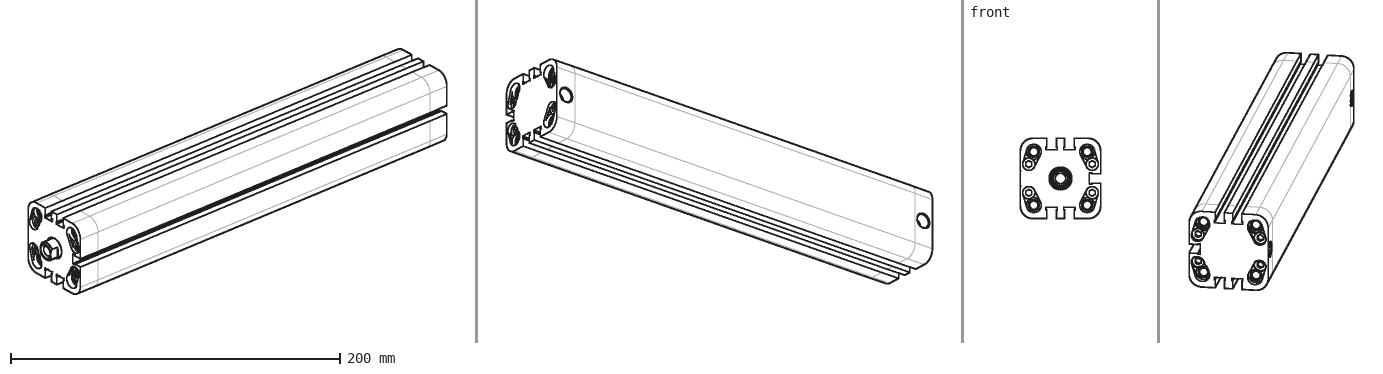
import cadquery as cq
import math

total_length = 300.2
side = 49.0
corner_radius = 7.8
rod_reach = 7.0
cap_length = 13.8
cap_draft = 0.3

slot_width = 5.7
slot_depth = 7.0
slot_pair_offset = 5.5
undercut_width = 6.5
undercut_height = 1.5

mount_spacing = 32.5
mount_bore = 5.0
mount_lead_in = 6.5
mount_recess = 9.0
mount_recess_depth = 4.0
screw_offset_x = 19.2
screw_offset_z = 8.7
screw_recess = 7.5
screw_recess_depth = 2.5
screw_socket = 3.5
screw_socket_depth = 1.8
link_depth = 1.5

port_inset = 7.2
port_bore = 8.7
port_mouth = 10.0
port_depth = 8.0
countersink_taper = 45.0
passage_diameter = 2.5
passage_length = 3.0
passage_shift = 2.5

rod_diameter = 12.0
rod_chamfer = 1.0
rod_collar = 1.8
rod_flats = 10.0
rod_bore = 6.3
rod_bore_mouth = 8.7
rod_bore_depth = 15.0
drill_point_angle = 118.0
ring_bore = 12.5
ring_mouth = 13.8
ring_depth = 2.5

front_tip = -total_length / 2
front_face = front_tip + rod_reach
rear_face = total_length / 2
front_seam = front_face + cap_length
rear_seam = rear_face - cap_length
middle = (front_face + rear_face) / 2
housing_length = rear_face - front_face


def facing_front(y, x=0, z=0):
    """Workplane at position y along the axis, facing -Y; its local axes are X and Z."""
    return cq.Workplane("XZ", origin=(x, y, z))


def with_mirror(shape, plane, base_point=(0, 0, 0)):
    return shape.union(shape.mirror(plane, base_point))


def at_both_ends(shape):
    return with_mirror(shape, "XZ", (0, middle, 0))


def cylinder_inward(diameter, depth, y, x=0, z=0):
    """Cylinder running from position y towards +Y."""
    return facing_front(y, x, z).circle(diameter / 2).extrude(-depth)


def cone_inward(mouth, bottom, depth, y, x=0, z=0):
    """Frustum narrowing from its mouth at position y towards +Y."""
    narrowing = math.degrees(math.atan2((mouth - bottom) / 2, depth))
    return facing_front(y, x, z).circle(mouth / 2).extrude(-depth, taper=narrowing)


def make_housing():
    outline = cq.Sketch().rect(side, side).vertices().fillet(corner_radius)
    body = facing_front(rear_seam).placeSketch(outline).extrude(rear_seam - front_seam)
    cap = facing_front(front_seam).placeSketch(outline).extrude(cap_length, taper=cap_draft)
    return body.union(at_both_ends(cap))


def make_slots():
    floor = side / 2 - slot_depth
    mouth = facing_front(rear_face, z=floor + slot_depth / 2).rect(slot_width, slot_depth)
    undercut = facing_front(rear_face, z=floor + undercut_height / 2).rect(undercut_width, undercut_height)
    slot = mouth.extrude(housing_length).union(undercut.extrude(housing_length))
    top_pair = with_mirror(slot.translate((slot_pair_offset, 0, 0)), "YZ")
    side_slot = slot.rotate((0, 0, 0), (0, 1, 0), 90)
    return with_mirror(top_pair, "XY").union(side_slot)


def make_link(x1, z1, r1, x2, z2, r2):
    """Shallow recess bounded by the outer tangents of two circles."""
    distance = math.hypot(x2 - x1, z2 - z1)
    heading = math.atan2(z2 - z1, x2 - x1)
    spread = math.acos((r1 - r2) / distance)
    left, right = heading + spread, heading - spread
    tangent_points = ((x1, z1, r1, left), (x2, z2, r2, left), (x2, z2, r2, right), (x1, z1, r1, right))
    corners = [(x + r * math.cos(angle), z + r * math.sin(angle)) for x, z, r, angle in tangent_points]
    return facing_front(front_face).polyline(corners).close().extrude(-link_depth)


def make_hex_socket(start):
    """Hexagonal socket of the cover screw, with two corners pointing along Z."""
    sides = 6
    half_sector = 180 / sides
    corner_diameter = screw_socket / math.cos(math.radians(half_sector))
    hexagon = facing_front(start, screw_offset_x, screw_offset_z).polygon(sides, corner_diameter)
    centre = (screw_offset_x, start, screw_offset_z)
    axis_end = (screw_offset_x, start + 3, screw_offset_z)
    return hexagon.extrude(-screw_socket_depth).rotate(centre, axis_end, half_sector)


def make_corner_recesses():
    """Recesses of all corners: built for the front +X +Z corner, then mirrored."""
    mount = mount_spacing / 2
    lead_in_depth = (mount_lead_in - mount_bore) / 2
    lead_in_start = front_face + mount_recess_depth
    recess = cylinder_inward(mount_recess, mount_recess_depth, front_face, mount, mount)
    lead_in = cone_inward(mount_lead_in, mount_bore, lead_in_depth, lead_in_start, mount, mount)
    screw = cylinder_inward(screw_recess, screw_recess_depth, front_face, screw_offset_x, screw_offset_z)
    socket_start = front_face + screw_recess_depth
    socket = make_hex_socket(socket_start)
    link = make_link(mount, mount, mount_recess / 2, screw_offset_x, screw_offset_z, screw_recess / 2)
    ends = at_both_ends(recess.union(lead_in).union(screw).union(socket).union(link))
    through_bore = cylinder_inward(mount_bore, housing_length, front_face, mount, mount)
    return with_mirror(with_mirror(ends.union(through_bore), "YZ"), "XY")


def make_ports():
    port_y = front_face + port_inset
    entry = cq.Workplane("YZ", origin=(-side / 2, port_y, 0))
    mouth_depth = (port_mouth - port_bore) / 2
    mouth = entry.circle(port_mouth / 2).extrude(mouth_depth, taper=countersink_taper)
    bore = entry.circle(port_bore / 2).extrude(port_depth)
    passage_start = (-side / 2 + port_depth, port_y + passage_shift, 0)
    passage = cq.Workplane("YZ", origin=passage_start).circle(passage_diameter / 2).extrude(passage_length)
    return at_both_ends(mouth.union(bore).union(passage))


def make_ring():
    mouth = cone_inward(ring_mouth, ring_bore, (ring_mouth - ring_bore) / 2, front_face)
    return mouth.union(cylinder_inward(ring_bore, ring_depth, front_face))


def make_rod():
    rod = cylinder_inward(rod_diameter, rod_reach + ring_depth, front_tip)
    rod = rod.faces("<Y").chamfer(rod_chamfer)
    flats_length = rod_reach - rod_collar
    flat_depth = (rod_diameter - rod_flats) / 2
    flat_centre = (rod_flats + flat_depth) / 2
    flat = facing_front(front_tip, flat_centre).rect(flat_depth, rod_diameter).extrude(-flats_length)
    return rod.cut(with_mirror(flat, "YZ"))


def make_rod_bore():
    """Countersunk bore with a conical drill point."""
    countersink = cone_inward(rod_bore_mouth, rod_bore, (rod_bore_mouth - rod_bore) / 2, front_tip)
    point_length = rod_bore / 2 / math.tan(math.radians(drill_point_angle / 2))
    drill_outline = [
        (0, front_tip),
        (rod_bore / 2, front_tip),
        (rod_bore / 2, front_tip + rod_bore_depth),
        (0, front_tip + rod_bore_depth + point_length),
    ]
    drill = cq.Workplane("XY").polyline(drill_outline).close().revolve(360, (0, 0, 0), (0, 1, 0))
    return countersink.union(drill)


housing = make_housing().cut(make_slots()).cut(make_corner_recesses())
housing = housing.cut(make_ports()).cut(make_ring())
result = housing.union(make_rod()).cut(make_rod_bore())